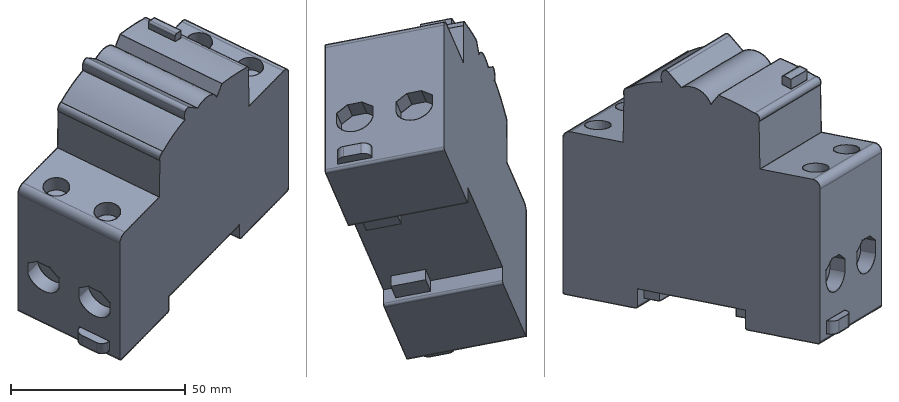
import cadquery as cq
import math

pole_count = 2
pole_width = 17.8
body_width = pole_count * pole_width
body_half_length = 42.6
shoulder_height = 50.0
edge_radius = 2.5
foot_radius = 0.8

rail_slot_half_width = 17.8
rail_slot_depth = 6.0

tower_base_half_length = 22.65
tower_top_half_length = 22.35
tower_wall_top = 64.45
tower_front_corner = (-20.9, 66.95)
tower_front_mid = (-16.6, 69.0)
tower_rear_corner = (20.9, 66.75)
tower_rear_mid = (15.0, 68.65)
tower_rear_crest = (9.0, 70.1)
tower_corner_bulge = 0.75

roller_radius = 7.0
roller_centre_height = 64.0
roller_rear_y = 6.4
roller_lever_y = -3.3
overall_height = 74.45
lever_tip_y = -8.55
lever_tip_radius = 1.3
lever_tip_start_angle = 47.0
lever_tip_end_angle = 155.0
lever_back_base = (-9.75, 70.7)
lever_back_bulge = 0.34

opening_depth = 5.0
screw_hole_diameter = 7.6
screw_hole_y = 36.05
wire_window_width = 10.85
wire_window_bottom_z = 13.35
wire_window_arc_end_z = 17.6
wire_window_shoulder_z = 21.55
wire_window_top_z = 24.0
wire_window_top_width = 4.3

overall_length = 90.32
clip_centre_x = pole_width / 2
clip_width = 10.4
clip_bottom_z = 2.0
clip_inner_y = 12.65
clip_face_width = 9.2
clip_corner_radius = 2.5

tab_x_min = -13.65
tab_x_max = -4.3
tab_y_min = 17.3
tab_y_max = 20.3
tab_base_z = 66.0
tab_front_z = 70.85
tab_rear_z = 69.95
tab_edge_radius = 0.6


def bulge_point(start, end, bulge):
    """Midpoint of start-end pushed outwards (left of the direction of travel)."""
    run = end[0] - start[0]
    rise = end[1] - start[1]
    chord = math.hypot(run, rise)
    middle_y = (start[0] + end[0]) / 2
    middle_z = (start[1] + end[1]) / 2
    return (middle_y - bulge * rise / chord, middle_z + bulge * run / chord)


def roller_point(y):
    """Point on the upper half of the roller at the given Y."""
    return (y, roller_centre_height + math.sqrt(roller_radius**2 - y**2))


def lever_tip_point(angle):
    """Point on the round lever tip, the angle in degrees from +Y towards +Z."""
    return (
        lever_tip_y + lever_tip_radius * math.cos(math.radians(angle)),
        overall_height - lever_tip_radius + lever_tip_radius * math.sin(math.radians(angle)),
    )


def extrude_along_x(profile):
    """Extrude a YZ profile over the full body width, centred on X = 0."""
    return profile.extrude(body_width / 2, both=True)


def make_base():
    """Block with the rail slot, rounded shoulders and rounded foot edges."""
    on_floor = (True, True, False)
    base = cq.Workplane("XY").box(body_width, 2 * body_half_length, shoulder_height, centered=on_floor)
    slot = cq.Workplane("XY").box(body_width, 2 * rail_slot_half_width, rail_slot_depth, centered=on_floor)
    base = base.cut(slot)
    base = base.faces(">Z").edges("|X").fillet(edge_radius)
    return base.faces("<Z").edges("|X").fillet(foot_radius)


def make_tower():
    """Panel with curved slopes, V-shaped notch, roller and lever in one outline."""
    front_wall_top = (-tower_top_half_length, tower_wall_top)
    rear_wall_top = (tower_top_half_length, tower_wall_top)
    front_bulge = bulge_point(front_wall_top, tower_front_corner, tower_corner_bulge)
    rear_bulge = bulge_point(tower_rear_corner, rear_wall_top, tower_corner_bulge)
    lever_tip_start = lever_tip_point(lever_tip_start_angle)
    lever_tip_end = lever_tip_point(lever_tip_end_angle)
    lever_back_mid = bulge_point(lever_back_base, lever_tip_end, lever_back_bulge)
    outline = (
        cq.Workplane("YZ")
        .moveTo(-tower_base_half_length, shoulder_height)
        .lineTo(*front_wall_top)
        .threePointArc(front_bulge, tower_front_corner)
        .threePointArc(tower_front_mid, lever_back_base)
        .threePointArc(lever_back_mid, lever_tip_end)
        .threePointArc(lever_tip_point(90), lever_tip_start)
        .lineTo(*roller_point(roller_lever_y))
        .threePointArc(roller_point(0), roller_point(roller_rear_y))
        .lineTo(*tower_rear_crest)
        .threePointArc(tower_rear_mid, tower_rear_corner)
        .threePointArc(rear_bulge, rear_wall_top)
        .lineTo(tower_base_half_length, shoulder_height)
        .close()
    )
    return extrude_along_x(outline)


def make_tab():
    """Small indicator with a sloping top."""
    return (
        cq.Workplane("YZ", origin=(tab_x_min, 0, 0))
        .moveTo(tab_y_min, tab_base_z)
        .lineTo(tab_y_min, tab_front_z)
        .lineTo(tab_y_max, tab_rear_z)
        .lineTo(tab_y_max, tab_base_z)
        .close()
        .extrude(tab_x_max - tab_x_min)
        .edges("|X and >Z")
        .fillet(tab_edge_radius)
    )


def make_front_clip():
    """Clip through the front foot; its outer end tapers and has rounded corners."""
    half_width = clip_width / 2
    half_face = clip_face_width / 2
    return (
        cq.Workplane("XY", origin=(clip_centre_x, 0, clip_bottom_z))
        .moveTo(-half_width, -clip_inner_y)
        .lineTo(-half_width, -body_half_length)
        .lineTo(-half_face, -overall_length / 2)
        .lineTo(half_face, -overall_length / 2)
        .lineTo(half_width, -body_half_length)
        .lineTo(half_width, -clip_inner_y)
        .close()
        .extrude(rail_slot_depth - clip_bottom_z)
        .faces("<Y")
        .edges("|Z")
        .fillet(clip_corner_radius)
    )


def make_screw_hole(x):
    """Blind round opening in the front shoulder."""
    return (
        cq.Workplane("XY", origin=(x, -screw_hole_y, shoulder_height))
        .circle(screw_hole_diameter / 2)
        .extrude(-opening_depth)
    )


def make_wire_window(x):
    """Round-bottomed opening with a chamfered flat top, cut in from the front face."""
    half_width = wire_window_width / 2
    half_top = wire_window_top_width / 2
    return (
        cq.Workplane("XZ", origin=(x, -body_half_length, 0))
        .moveTo(-half_width, wire_window_arc_end_z)
        .threePointArc((0, wire_window_bottom_z), (half_width, wire_window_arc_end_z))
        .lineTo(half_width, wire_window_shoulder_z)
        .lineTo(half_top, wire_window_top_z)
        .lineTo(-half_top, wire_window_top_z)
        .lineTo(-half_width, wire_window_shoulder_z)
        .close()
        .extrude(-opening_depth)
    )


def both_ends(shape):
    """The shape together with its mirror image at the other end of the body."""
    return shape, shape.mirror("XZ")


result = make_base().union(make_tower()).union(make_tab())
for clip in both_ends(make_front_clip()):
    result = result.union(clip)
for pole in range(pole_count):
    pole_x = (pole - (pole_count - 1) / 2) * pole_width
    for opening in (make_screw_hole(pole_x), make_wire_window(pole_x)):
        for cutter in both_ends(opening):
            result = result.cut(cutter)